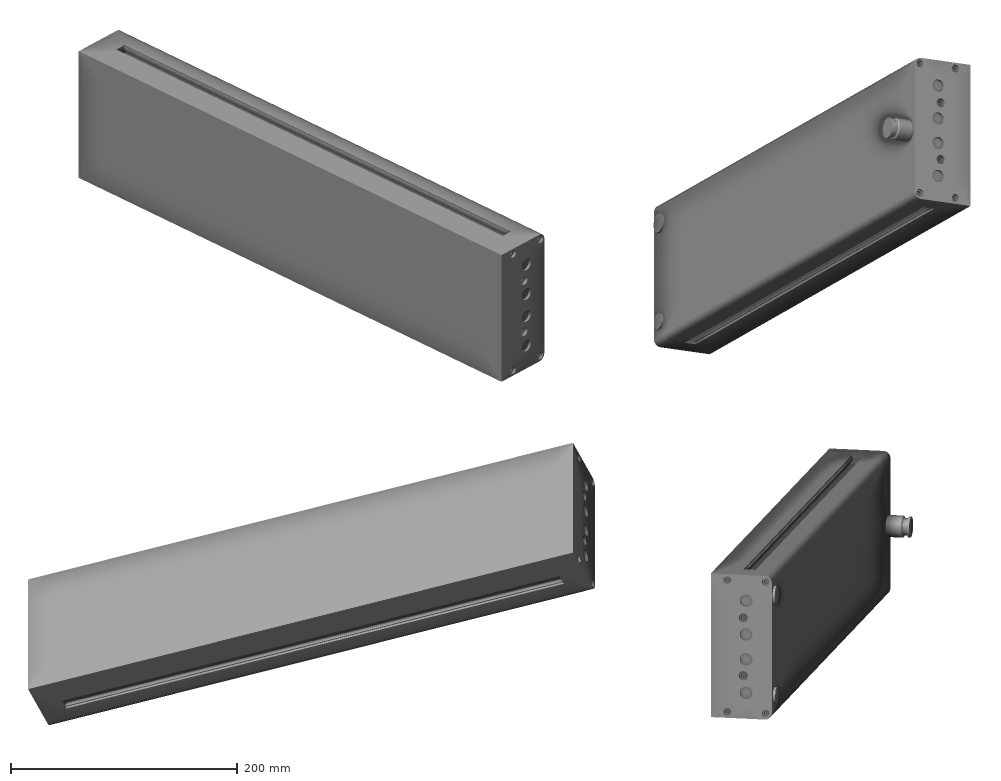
import cadquery as cq

length = 514.0
height = 130.0
plate_thickness = 9.0
housing_back = 55.0
cap_length = 22.0
back_edge_radius = 6.0

slot_center_y = 30.5
slot_mouth_width = 11.0
slot_neck_width = 8.5
slot_inner_width = 14.0
slot_step_depth = 2.0
slot_neck_depth = 4.5
slot_depth = 8.0

port_radius = 5.5
port_y = 32.0
port_heights = (11.5, 41.5)
port_depth = 2.5
socket_radius = 4.0
socket_bore_radius = 3.0
socket_y = 29.5
socket_height = 26.0
socket_depth = 4.0
socket_bore_depth = 6.0
screw_radius = 3.5
screw_bore_radius = 2.5
screw_y_positions = (15.0, 50.0)
screw_height = 59.5
screw_depth = 3.0
screw_bore_depth = 5.0

connector_x = 12.0
connector_end = 76.0
connector_radius = 10.0
connector_collar_radius = 9.0
connector_collar_width = 1.5
connector_body_end = 70.0
connector_chamfer = 1.0
connector_neck_radius = 7.5
connector_flange_radius = 9.0
connector_flange_width = 2.0

button_inset = 12.0
button_height = 45.0
button_thickness = 2.0
upper_button_radius = 8.5
lower_button_radius = 7.0

housing_depth = housing_back - plate_thickness


def cylinder_y(x, z, y_start, y_end, radius):
    """Cylinder along Y between two Y positions."""
    return cq.Workplane(
        cq.Solid.makeCylinder(radius, y_end - y_start, cq.Vector(x, y_start, z), cq.Vector(0, 1, 0))
    )


def housing_block(x_start, block_length):
    """Block behind the front plate with its two long back edges rounded."""
    block = cq.Workplane("XY").box(block_length, housing_depth, height, centered=(False, False, True))
    block = block.edges("|X and >Y").fillet(back_edge_radius)
    return block.translate((x_start, plate_thickness, 0))


def make_front_plate():
    """Flat plate covering the whole front."""
    return cq.Workplane("XY").box(length, plate_thickness, height, centered=(False, False, True))


def make_profile():
    """Bar between the caps with a stepped T-slot in its top and bottom faces."""
    profile_length = length - 2 * cap_length
    profile = housing_block(cap_length, profile_length)
    layers = (
        (slot_mouth_width, 0, slot_step_depth),
        (slot_neck_width, slot_step_depth, slot_neck_depth),
        (slot_inner_width, slot_neck_depth, slot_depth),
    )
    for side in (1, -1):
        for width, top, bottom in layers:
            layer = cq.Workplane("XY").box(profile_length, width, bottom - top)
            layer_z = side * (height / 2 - (top + bottom) / 2)
            profile = profile.cut(layer.translate((length / 2, slot_center_y, layer_z)))
    return profile


def end_recess(points, radius, depth):
    """Round blind holes sunk into the face at X = 0."""
    return cq.Workplane("YZ").pushPoints(points).circle(radius).extrude(depth)


def make_cap():
    """End cap with its outer face at X = 0."""
    cap = housing_block(0, cap_length)
    ports = [(port_y, side * z) for side in (1, -1) for z in port_heights]
    sockets = [(socket_y, side * socket_height) for side in (1, -1)]
    screws = [(y, side * screw_height) for side in (1, -1) for y in screw_y_positions]
    recesses = (
        (ports, port_radius, port_depth),
        (sockets, socket_radius, socket_depth),
        (sockets, socket_bore_radius, socket_bore_depth),
        (screws, screw_radius, screw_depth),
        (screws, screw_bore_radius, screw_bore_depth),
    )
    for points, radius, depth in recesses:
        cap = cap.cut(end_recess(points, radius, depth))
    return cap


def make_left_cap():
    """Cap at X = 0 with a stepped round connector on its back."""
    body_start = housing_back + connector_collar_width
    flange_start = connector_end - connector_flange_width
    body = cylinder_y(connector_x, 0, body_start, connector_body_end, connector_radius)
    cap = make_cap()
    cap = cap.union(cylinder_y(connector_x, 0, housing_back, body_start, connector_collar_radius))
    cap = cap.union(body.faces(">Y").chamfer(connector_chamfer))
    cap = cap.union(cylinder_y(connector_x, 0, connector_body_end, flange_start, connector_neck_radius))
    cap = cap.union(cylinder_y(connector_x, 0, flange_start, connector_end, connector_flange_radius))
    return cap


def make_right_cap():
    """Mirrored cap at the far end with two round buttons on its back."""
    cap = make_cap().mirror("YZ").translate((length, 0, 0))
    button_x = length - button_inset
    for z, radius in ((button_height, upper_button_radius), (-button_height, lower_button_radius)):
        cap = cap.union(cylinder_y(button_x, z, housing_back, housing_back + button_thickness, radius))
    return cap


front_plate = make_front_plate()
profile = make_profile()
left_cap = make_left_cap()
right_cap = make_right_cap()

result = cq.Compound.makeCompound([front_plate.val(), profile.val(), left_cap.val(), right_cap.val()])